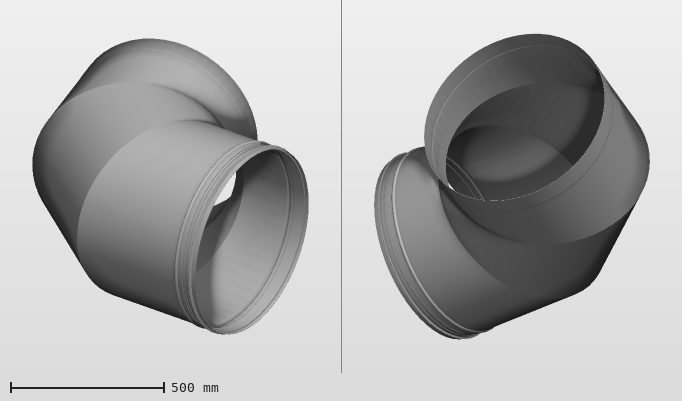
import cadquery as cq
import math

total_length = 985.0
wall = 1.0
tube_diameter = 631.5
bend_angle = 75.0
middle_length = 296.0
outlet_length = 297.0

socket_diameter = 633.0
socket_length = 69.0
socket_step = 5.0

spigot_length = 87.0
bead_center = 78.0
bead_width = 13.0
bead_height = 5.0
groove_start = 14.0
groove_end = 52.0
groove_diameter = 623.0

seal_base_diameter = 627.0
rib_diameter = 631.0
rib_spans = [(29.0, 34.0), (42.0, 49.0)]
lip_diameter = 644.0
lip_foot_front = 18.0
lip_tip_front = 21.0
lip_back = 22.0

tube_radius = tube_diameter / 2
tube_bore = tube_radius - wall
socket_radius = socket_diameter / 2
groove_radius = groove_diameter / 2
seal_base_radius = seal_base_diameter / 2
rib_radius = rib_diameter / 2
lip_radius = lip_diameter / 2
mitre_turn = bend_angle / 2
overrun = tube_diameter

middle_reach = middle_length * math.cos(math.radians(mitre_turn))
outlet_reach = outlet_length * math.cos(math.radians(bend_angle))
mouth_reach = socket_radius * math.sin(math.radians(bend_angle))
inlet_length = total_length - middle_reach - outlet_reach - mouth_reach


def direction(angle):
    """Unit vector of the axis after turning by angle from the -X direction towards +Y."""
    turn = math.radians(angle)
    return cq.Vector(-math.cos(turn), math.sin(turn), 0)


first_mitre = cq.Vector(0, 0, 0)
second_mitre = first_mitre + direction(mitre_turn) * middle_length
spigot_mouth = first_mitre - direction(0) * inlet_length


def axis_sketch(origin, angle):
    """Sketch whose local X is the distance forward along the axis and local Y the radius."""
    plane = cq.Plane(origin=origin, xDir=direction(angle), normal=(0, 0, -1))
    return cq.Workplane(plane)


def spin(outline):
    """Close an outline and revolve it about the sketch's local X axis."""
    return outline.close().revolve(360, (0, 0), (1, 0))


def plain_tube(origin, angle, start, end):
    """Tube between two distances measured forward along the axis."""
    outline = (
        axis_sketch(origin, angle)
        .moveTo(start, tube_bore)
        .lineTo(end, tube_bore)
        .lineTo(end, tube_radius)
        .lineTo(start, tube_radius)
    )
    return spin(outline)


def beyond_mitre(origin, angle):
    """Block that fills the space beyond a mitre plane."""
    size = 4 * tube_diameter
    plane = cq.Plane(origin=origin, xDir=(0, 0, 1), normal=direction(angle))
    return cq.Workplane(plane).rect(size, size).extrude(size)


past_first = beyond_mitre(first_mitre, mitre_turn / 2)
past_second = beyond_mitre(second_mitre, (mitre_turn + bend_angle) / 2)


def make_inlet_tube():
    tube = plain_tube(first_mitre, 0, spigot_length - inlet_length, overrun)
    return tube.cut(past_first)


def make_middle_tube():
    tube = plain_tube(first_mitre, mitre_turn, -overrun, middle_length + overrun)
    return tube.intersect(past_first).cut(past_second)


def make_outlet_tube():
    """Mitred tube that widens through a short cone into the socket."""
    cone_end = outlet_length - socket_length
    cone_start = cone_end - socket_step
    outline = (
        axis_sketch(second_mitre, bend_angle)
        .moveTo(-overrun, tube_bore)
        .lineTo(cone_start, tube_bore)
        .lineTo(cone_end, socket_radius - wall)
        .lineTo(outlet_length, socket_radius - wall)
        .lineTo(outlet_length, socket_radius)
        .lineTo(cone_end, socket_radius)
        .lineTo(cone_start, tube_radius)
        .lineTo(-overrun, tube_radius)
    )
    return spin(outline).intersect(past_second)


def make_spigot():
    """Thin ring with a rolled stop bead and an inward groove for the seal."""
    bead_front = bead_center - bead_width / 2
    bead_back = bead_center + bead_width / 2
    outline = (
        axis_sketch(spigot_mouth, 0)
        .moveTo(0, tube_bore)
        .lineTo(0, tube_radius)
        .lineTo(groove_start, tube_radius)
        .lineTo(groove_start, groove_radius)
        .lineTo(groove_end, groove_radius)
        .lineTo(groove_end, tube_radius)
        .lineTo(bead_front, tube_radius)
        .threePointArc((bead_center, tube_radius + bead_height), (bead_back, tube_radius))
        .lineTo(spigot_length, tube_radius)
        .lineTo(spigot_length, tube_bore)
        .lineTo(bead_back, tube_bore)
        .threePointArc((bead_center, tube_bore + bead_height), (bead_front, tube_bore))
        .lineTo(groove_end + wall, tube_bore)
        .lineTo(groove_end + wall, groove_radius - wall)
        .lineTo(groove_start - wall, groove_radius - wall)
        .lineTo(groove_start - wall, tube_bore)
    )
    return spin(outline)


def make_seal():
    """Ring that fills the groove, with one tall tapered lip and two low square ribs."""
    outline = (
        axis_sketch(spigot_mouth, 0)
        .moveTo(groove_start, groove_radius)
        .lineTo(groove_start, seal_base_radius)
        .lineTo(lip_foot_front, seal_base_radius)
        .lineTo(lip_tip_front, lip_radius)
        .lineTo(lip_back, lip_radius)
        .lineTo(lip_back, seal_base_radius)
    )
    for rib_front, rib_back in rib_spans:
        outline = (
            outline
            .lineTo(rib_front, seal_base_radius)
            .lineTo(rib_front, rib_radius)
            .lineTo(rib_back, rib_radius)
            .lineTo(rib_back, seal_base_radius)
        )
    outline = (
        outline
        .lineTo(groove_end, seal_base_radius)
        .lineTo(groove_end, groove_radius)
    )
    return spin(outline)


inlet_tube = make_inlet_tube()
middle_tube = make_middle_tube()
outlet_tube = make_outlet_tube()
spigot = make_spigot()
seal = make_seal()

result = cq.Compound.makeCompound(
    [inlet_tube.val(), middle_tube.val(), outlet_tube.val(), spigot.val(), seal.val()]
)